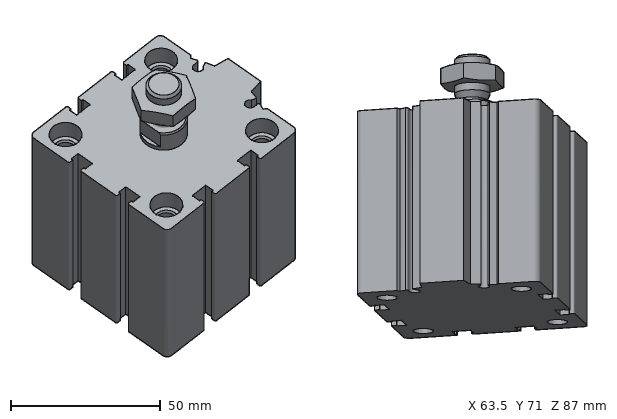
import cadquery as cq
import math

BODY_SIDE = 63.5
BODY_HEIGHT = 63.0
CORNER_RADIUS = 2.1
HALF = BODY_SIDE / 2

SLOT_OFFSET = 11.0
SLOT_OPENING = 5.1
SLOT_LIP_DEPTH = 1.8
SLOT_LIP_ROUND = 0.5
SLOT_POCKET_WIDTH = 6.5
SLOT_DEPTH = 5.1

RAIL_TOP_Y = 39.2
RAIL_TOP_HALF_WIDTH = 7.6
RAIL_SHOULDER = (8.4, 33.7)
RAIL_TIP = (11.8, 32.7)
GROOVE_CENTER = (12.0, 29.3)
GROOVE_RADIUS = 1.8
GROOVE_INNER_ANGLE = 60
LIP_PEAK_Y = 31.6
LIP_ROUND = 0.7
NOTCH_BOTTOM = (16.8, 30.6)
NOTCH_OUTER_X = 17.6

HOLE_OFFSET = 23.2
HOLE_DIAMETER = 6.8
HOLE_MOUTH_DIAMETER = 8.0
COUNTERBORE_DIAMETER = 11.0
COUNTERBORE_DEPTH = 7.0

TOTAL_HEIGHT = 87.0
ROD_DIAMETER = 16.0
ROD_LENGTH = 8.0
ROD_CHAMFER = 0.5
FLAT_WIDTH = 13.0
FLAT_START = 1.6
NECK_DIAMETER = 10.2
NECK_FILLET = 0.7
NECK_LENGTH = 1.2
RUNOUT_LENGTH = 2.3
THREAD_DIAMETER = 12.0
THREAD_CHAMFER = (THREAD_DIAMETER - NECK_DIAMETER) / 2

NUT_FLATS = 19.0
HEX_HALF_ANGLE = 30
NUT_HEIGHT = 6.0
NUT_BOTTOM = BODY_HEIGHT + 14.0
NUT_FACE_DIAMETER = 18.8
NUT_CHAMFER_ANGLE = 15


def rail_and_grooves():
    """Middle of the back side: the rail, the sensor grooves beside it and their outer lips."""
    cx, cy = GROOVE_CENTER
    angle = math.radians(GROOVE_INNER_ANGLE)
    groove_inner = (cx - GROOVE_RADIUS * math.cos(angle), cy + GROOVE_RADIUS * math.sin(angle))
    groove_outer_x = cx + GROOVE_RADIUS
    lip_peak_x = groove_outer_x + LIP_ROUND
    lip_shoulder_y = LIP_PEAK_Y - LIP_ROUND
    bulge = LIP_ROUND * (1 - math.sqrt(0.5))
    right_half = (
        cq.Workplane("XY")
        .lineTo(0, RAIL_TOP_Y)
        .lineTo(RAIL_TOP_HALF_WIDTH, RAIL_TOP_Y)
        .lineTo(*RAIL_SHOULDER)
        .lineTo(*RAIL_TIP)
        .lineTo(*groove_inner)
        .threePointArc((cx, cy - GROOVE_RADIUS), (groove_outer_x, cy))
        .lineTo(groove_outer_x, lip_shoulder_y)
        .threePointArc((groove_outer_x + bulge, LIP_PEAK_Y - bulge), (lip_peak_x, LIP_PEAK_Y))
        .lineTo(*NOTCH_BOTTOM)
        .lineTo(NOTCH_OUTER_X, HALF)
        .lineTo(NOTCH_OUTER_X, 0)
        .close()
        .extrude(BODY_HEIGHT)
    )
    return right_half.union(right_half.mirror("YZ"))


def side_slot():
    """Cutter for one T-slot in the front (-Y) side, centred on X = 0."""
    mouth = SLOT_OPENING / 2
    pocket = SLOT_POCKET_WIDTH / 2
    lip_y = -HALF + SLOT_LIP_DEPTH
    floor_y = -HALF + SLOT_DEPTH
    r = SLOT_LIP_ROUND
    bulge = r * (1 - math.sqrt(0.5))
    return (
        cq.Workplane("XY")
        .moveTo(-mouth - r, -HALF)
        .threePointArc((-mouth - bulge, -HALF + bulge), (-mouth, -HALF + r))
        .lineTo(-mouth, lip_y)
        .lineTo(-pocket, lip_y)
        .lineTo(-pocket, floor_y)
        .lineTo(pocket, floor_y)
        .lineTo(pocket, lip_y)
        .lineTo(mouth, lip_y)
        .lineTo(mouth, -HALF + r)
        .threePointArc((mouth + bulge, -HALF + bulge), (mouth + r, -HALF))
        .close()
        .extrude(BODY_HEIGHT)
    )


def mounting_hole():
    """Cutter for one counterbored through hole with a countersunk mouth, on the Z axis."""
    seat_z = BODY_HEIGHT - COUNTERBORE_DEPTH
    hole_r = HOLE_DIAMETER / 2
    mouth_r = HOLE_MOUTH_DIAMETER / 2
    bore_r = COUNTERBORE_DIAMETER / 2
    profile = [
        (0, 0),
        (hole_r, 0),
        (hole_r, seat_z - (mouth_r - hole_r)),
        (mouth_r, seat_z),
        (bore_r, seat_z),
        (bore_r, BODY_HEIGHT),
        (0, BODY_HEIGHT),
    ]
    return cq.Workplane("XZ").polyline(profile).close().revolve(360, (0, 0, 0), (0, 1, 0))


def make_housing():
    block = cq.Workplane("XY").rect(BODY_SIDE, BODY_SIDE).extrude(BODY_HEIGHT).edges("|Z").fillet(CORNER_RADIUS)
    back_center = cq.Workplane("XY").center(0, HALF / 2).rect(2 * NOTCH_OUTER_X, HALF).extrude(BODY_HEIGHT)
    body = block.cut(back_center).union(rail_and_grooves())
    for side_angle in (-90, 0, 90):
        for x in (-SLOT_OFFSET, SLOT_OFFSET):
            body = body.cut(side_slot().translate((x, 0, 0)).rotate((0, 0, 0), (0, 0, 1), side_angle))
    for x in (-HOLE_OFFSET, HOLE_OFFSET):
        for y in (-HOLE_OFFSET, HOLE_OFFSET):
            body = body.cut(mounting_hole().translate((x, y, 0)))
    return body


def make_rod():
    """Rod standing on the housing: wrench flats, neck, thread run-out and thread."""
    rod_r = ROD_DIAMETER / 2
    neck_r = NECK_DIAMETER / 2
    thread_r = THREAD_DIAMETER / 2
    shoulder_z = BODY_HEIGHT + ROD_LENGTH
    neck_top = shoulder_z + NECK_LENGTH
    fillet_bulge = NECK_FILLET * (1 - math.sqrt(0.5))
    rod = (
        cq.Workplane("XZ")
        .moveTo(0, BODY_HEIGHT)
        .lineTo(rod_r, BODY_HEIGHT)
        .lineTo(rod_r, shoulder_z - ROD_CHAMFER)
        .lineTo(rod_r - ROD_CHAMFER, shoulder_z)
        .lineTo(neck_r + NECK_FILLET, shoulder_z)
        .threePointArc((neck_r + fillet_bulge, shoulder_z + fillet_bulge), (neck_r, shoulder_z + NECK_FILLET))
        .lineTo(neck_r, neck_top)
        .lineTo(thread_r, neck_top + RUNOUT_LENGTH)
        .lineTo(thread_r, TOTAL_HEIGHT - THREAD_CHAMFER)
        .lineTo(thread_r - THREAD_CHAMFER, TOTAL_HEIGHT)
        .lineTo(0, TOTAL_HEIGHT)
        .close()
        .revolve(360, (0, 0, 0), (0, 1, 0))
    )
    for side in (-1, 1):
        flat = (
            cq.Workplane("XY", origin=(0, side * (FLAT_WIDTH + ROD_DIAMETER) / 2, BODY_HEIGHT + FLAT_START))
            .rect(ROD_DIAMETER, ROD_DIAMETER)
            .extrude(ROD_LENGTH - FLAT_START)
        )
        rod = rod.cut(flat)
    return rod


def make_nut():
    """Hexagon nut with two flats facing X and both faces chamfered."""
    corner_r = NUT_FLATS / 2 / math.cos(math.radians(HEX_HALF_ANGLE))
    face_r = NUT_FACE_DIAMETER / 2
    drop = (corner_r - face_r) * math.tan(math.radians(NUT_CHAMFER_ANGLE))
    hexagon = (
        cq.Workplane("XY", origin=(0, 0, NUT_BOTTOM))
        .polygon(6, 2 * corner_r)
        .extrude(NUT_HEIGHT)
        .rotate((0, 0, 0), (0, 0, 1), HEX_HALF_ANGLE)
    )
    envelope_profile = [
        (THREAD_DIAMETER / 2, NUT_BOTTOM),
        (face_r, NUT_BOTTOM),
        (corner_r, NUT_BOTTOM + drop),
        (corner_r, NUT_BOTTOM + NUT_HEIGHT - drop),
        (face_r, NUT_BOTTOM + NUT_HEIGHT),
        (THREAD_DIAMETER / 2, NUT_BOTTOM + NUT_HEIGHT),
    ]
    envelope = cq.Workplane("XZ").polyline(envelope_profile).close().revolve(360, (0, 0, 0), (0, 1, 0))
    return hexagon.intersect(envelope)


housing = make_housing()
rod = make_rod()
nut = make_nut()
result = cq.Compound.makeCompound([housing.val(), rod.val(), nut.val()])